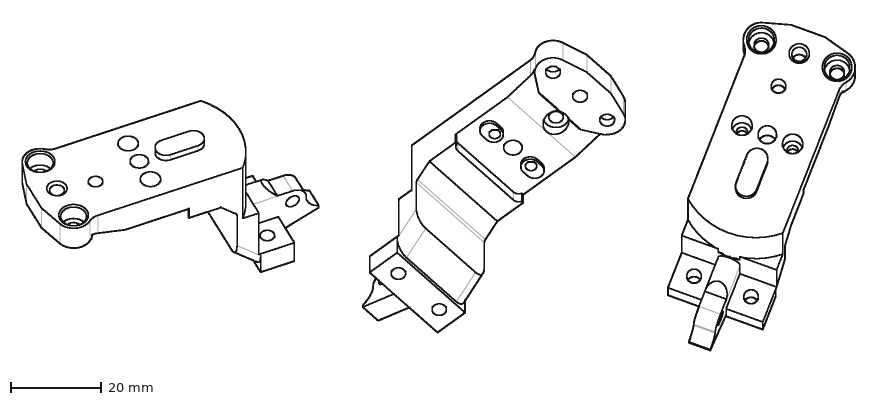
import cadquery as cq
import math


overall_width = 26.0
overall_length = 68.2
body_width = 22.5
half_body = body_width / 2
arm_underside_z = -7.6
taper_start_y = 17.1
taper_slope = 0.27
step_y = 32.7
step_z = -10.5
inner_wall_y = 44.35
gusset_size = 3.9
gusset_fillet = 1.15
wall_back_y = 49.65

crown_y = 49.95
crown_radius = 17.2
crown_bottom_z = -16.3
crown_nib_bottom_z = -18.6

foot_front_y = 50.1
foot_back_y = 58.3
foot_top_z = -29.6
foot_bottom_z = -35.55
slope_top_z = -28.65
slope_bottom_z = slope_top_z - (foot_front_y - inner_wall_y)
slope_fillet = 3.0
foot_hole_x = 6.75
foot_hole_y = 53.75
foot_hole_diameter = 3.2

lobe_radius = 4.0
lobe_x = overall_width / 2 - lobe_radius
lobe_y = 5.6
pad_bottom_z = -6.4
pad_side_y = 7.5
pad_back_y = 11.8
pad_back_half_width = 6.8
front_half_width = 4.0
neck_radius = 3.4

lobe_bore_diameter = 5.7
lobe_bore_depth = 4.1
lobe_bore_chamfer = 0.4
lobe_hole_diameter = 3.3
front_hole_diameter = 3.3
front_hole_chamfer = 0.6
offset_hole_x = 1.65
offset_hole_y = 14.25
offset_hole_diameter = 3.2
offset_bore_diameter = 5.7
offset_bore_depth = 2.7
screw_row_y = 25.65
center_hole_diameter = 4.1
screw_x = 6.0
screw_hole_diameter = 2.5
screw_bore_diameter = 4.5
screw_bore_depth = 5.45

key_width = 4.85
key_length = 11.5
key_y = 35.5
key_height = 1.65
boss_width = 4.2
boss_length = 5.65
boss_x = 6.75
boss_y = 25.9
boss_height = 0.9

pocket_width = 21.6
pocket_back_y = 33.85
pocket_corner_radius = 1.65

hinge_width = 5.1
hinge_top_z = -22.8
hinge_pin_y = 61.8
hinge_pin_z = -26.1
hinge_pin_diameter = 3.2
hinge_nose_radius = hinge_top_z - hinge_pin_z
nose_y = hinge_pin_y + hinge_nose_radius
ridge_end_y = 58.1

cut_margin = 0.7


def side_prism(sketch, width):
    """Extrude a closed YZ outline symmetrically about X = 0."""
    return sketch.close().extrude(width / 2, both=True)


def down_cylinder(x, y, diameter, top_z, depth):
    return cq.Workplane("XY", origin=(x, y, top_z)).circle(diameter / 2).extrude(-depth)


def slot_block(x, y, length, width, angle, bottom_z, height):
    return cq.Workplane("XY", origin=(x, y, bottom_z)).slot2D(length, width, angle).extrude(height)


def make_plate_outline():
    """Top outline of the plate: angled nose, two lobes, concave necks and the crown."""
    reach = lobe_radius + neck_radius
    neck_dx = half_body + neck_radius - lobe_x
    neck_dy = math.sqrt(reach**2 - neck_dx**2)
    neck_y = lobe_y + neck_dy
    join = (lobe_x + neck_dx * lobe_radius / reach, lobe_y + neck_dy * lobe_radius / reach)
    neck_turn = math.atan2(neck_dy, neck_dx) / 2
    neck_mid = (
        half_body + neck_radius - neck_radius * math.cos(neck_turn),
        neck_y - neck_radius * math.sin(neck_turn),
    )
    to_lobe_x = lobe_x - front_half_width
    distance = math.hypot(to_lobe_x, lobe_y)
    edge_angle = math.atan2(lobe_y, to_lobe_x) - math.asin(lobe_radius / distance)
    tangent = (
        lobe_x + lobe_radius * math.sin(edge_angle),
        lobe_y - lobe_radius * math.cos(edge_angle),
    )
    outer = (lobe_x + lobe_radius, lobe_y)
    crown_side_y = crown_y - crown_radius + math.sqrt(crown_radius**2 - half_body**2)

    def mirrored(point):
        return (-point[0], point[1])

    return (
        cq.Workplane("XY")
        .moveTo(-front_half_width, 0)
        .lineTo(front_half_width, 0)
        .lineTo(*tangent)
        .threePointArc(outer, join)
        .threePointArc(neck_mid, (half_body, neck_y))
        .lineTo(half_body, crown_side_y)
        .threePointArc((0, crown_y), (-half_body, crown_side_y))
        .lineTo(-half_body, neck_y)
        .threePointArc(mirrored(neck_mid), mirrored(join))
        .threePointArc(mirrored(outer), mirrored(tangent))
        .close()
    )


def make_pad_blank():
    """Flat-bottomed block that fills the front of the taper, narrowing towards the back."""
    half_width = overall_width / 2 + cut_margin
    return (
        cq.Workplane("XY")
        .polyline([
            (-half_width, -cut_margin),
            (half_width, -cut_margin),
            (half_width, pad_side_y),
            (pad_back_half_width, pad_back_y),
            (-pad_back_half_width, pad_back_y),
            (-half_width, pad_side_y),
        ])
        .close()
        .extrude(pad_bottom_z)
    )


def make_arm():
    """Plate outline trimmed to the front pad, the stepped, tapered underside and the gusset."""
    front_z = arm_underside_z + taper_slope * taper_start_y
    gusset_bottom_z = step_z - gusset_size
    profile = side_prism(
        cq.Workplane("YZ")
        .moveTo(0, 0)
        .lineTo(0, front_z)
        .lineTo(taper_start_y, arm_underside_z)
        .lineTo(step_y, arm_underside_z)
        .lineTo(step_y, step_z)
        .lineTo(inner_wall_y - gusset_size, step_z)
        .lineTo(inner_wall_y, gusset_bottom_z)
        .lineTo(inner_wall_y, crown_bottom_z)
        .lineTo(crown_y, crown_bottom_z)
        .lineTo(crown_y, 0),
        overall_width + 2 * cut_margin,
    )
    corner = cq.selectors.NearestToPointSelector((0, inner_wall_y, gusset_bottom_z))
    profile = profile.edges("|X").edges(corner).fillet(gusset_fillet)
    return make_plate_outline().extrude(crown_bottom_z).intersect(profile.union(make_pad_blank()))


def make_wall_and_foot():
    """Wall with a 45 degree rounded lower face, the foot block and the crown nib."""
    wall = side_prism(
        cq.Workplane("YZ")
        .moveTo(inner_wall_y, crown_bottom_z)
        .lineTo(inner_wall_y, slope_top_z)
        .lineTo(foot_front_y, slope_bottom_z)
        .lineTo(foot_front_y, foot_top_z)
        .lineTo(wall_back_y, foot_top_z)
        .lineTo(wall_back_y, crown_bottom_z),
        body_width,
    )
    slope_mid_y = (inner_wall_y + foot_front_y) / 2
    slope_mid_z = (slope_top_z + slope_bottom_z) / 2
    for side in (-1, 1):
        edge_point = (side * half_body, slope_mid_y, slope_mid_z)
        wall = wall.edges(cq.selectors.NearestToPointSelector(edge_point)).fillet(slope_fillet)
    foot = cq.Workplane("XY").box(
        body_width, foot_back_y - foot_front_y, foot_top_z - foot_bottom_z, centered=(True, False, False)
    ).translate((0, foot_front_y, foot_bottom_z))
    for side in (-1, 1):
        foot = foot.cut(down_cylinder(
            side * foot_hole_x, foot_hole_y, foot_hole_diameter, foot_top_z, foot_top_z - foot_bottom_z
        ))
    nib_strip = cq.Workplane("XY").box(
        hinge_width, crown_y - inner_wall_y, crown_bottom_z - crown_nib_bottom_z, centered=(True, False, False)
    ).translate((0, inner_wall_y, crown_nib_bottom_z))
    nib = make_plate_outline().extrude(crown_nib_bottom_z).intersect(nib_strip)
    return wall.union(foot).union(nib)


def make_hinge():
    """Hook-ended arm with a pin hole and a half-round ridge on top."""
    diagonal = hinge_nose_radius * math.sqrt(0.5)
    hook_top_z = -26.9
    hook_mid = (66.1, -28.8)
    tip_top_z = -30.3
    tip_bottom_z = -31.0
    underside_z = -34.6
    arm = side_prism(
        cq.Workplane("YZ")
        .moveTo(wall_back_y, hinge_top_z)
        .lineTo(hinge_pin_y, hinge_top_z)
        .threePointArc((hinge_pin_y + diagonal, hinge_pin_z + diagonal), (nose_y, hinge_pin_z))
        .lineTo(nose_y, hook_top_z)
        .threePointArc(hook_mid, (overall_length, tip_top_z))
        .lineTo(overall_length, tip_bottom_z)
        .lineTo(foot_back_y, underside_z)
        .lineTo(foot_front_y, underside_z)
        .lineTo(foot_front_y, foot_top_z)
        .lineTo(wall_back_y, foot_top_z),
        hinge_width,
    )
    ridge_radius = hinge_width / 2
    ridge_trim_height = ridge_radius + cut_margin
    ridge = (
        cq.Workplane("XZ", origin=(0, wall_back_y, hinge_top_z))
        .circle(ridge_radius)
        .extrude(wall_back_y - ridge_end_y)
    )
    ridge_trim = side_prism(
        cq.Workplane("YZ")
        .moveTo(wall_back_y, hinge_top_z)
        .lineTo(ridge_end_y, hinge_top_z)
        .lineTo(ridge_end_y - ridge_trim_height, hinge_top_z + ridge_trim_height)
        .lineTo(wall_back_y, hinge_top_z + ridge_trim_height),
        hinge_width + 2 * cut_margin,
    )
    pin_hole = (
        cq.Workplane("YZ")
        .center(hinge_pin_y, hinge_pin_z)
        .circle(hinge_pin_diameter / 2)
        .extrude(hinge_width, both=True)
    )
    return arm.union(ridge.intersect(ridge_trim)).cut(pin_hole)


def through_hole(x, y, diameter):
    return down_cylinder(x, y, diameter, cut_margin, cut_margin - step_z)


def countersink(x, y, diameter, chamfer):
    return (
        cq.Workplane("XY", origin=(x, y, 0))
        .circle(diameter / 2 + chamfer)
        .workplane(offset=-chamfer)
        .circle(diameter / 2)
        .loft(ruled=True)
    )


def cut_plate_holes(body):
    tools = [
        through_hole(0, lobe_y, front_hole_diameter),
        countersink(0, lobe_y, front_hole_diameter, front_hole_chamfer),
        through_hole(offset_hole_x, offset_hole_y, offset_hole_diameter),
        down_cylinder(
            offset_hole_x, offset_hole_y, offset_bore_diameter,
            arm_underside_z + offset_bore_depth, offset_bore_depth,
        ),
        through_hole(0, screw_row_y, center_hole_diameter),
    ]
    for side in (-1, 1):
        tools += [
            through_hole(side * lobe_x, lobe_y, lobe_hole_diameter),
            down_cylinder(side * lobe_x, lobe_y, lobe_bore_diameter, 0, lobe_bore_depth),
            countersink(side * lobe_x, lobe_y, lobe_bore_diameter, lobe_bore_chamfer),
            through_hole(side * screw_x, screw_row_y, screw_hole_diameter),
            down_cylinder(side * screw_x, screw_row_y, screw_bore_diameter, 0, screw_bore_depth),
        ]
    for tool in tools:
        body = body.cut(tool)
    return body


def make_step_pocket():
    """Round-cornered recess in the step, open to the front and below."""
    pocket_length = pocket_back_y - step_y + cut_margin
    return (
        cq.Workplane("XY", origin=(0, pocket_back_y - pocket_length / 2, step_z))
        .rect(pocket_width, pocket_length)
        .extrude(arm_underside_z - step_z)
        .edges("|Z and >Y")
        .fillet(pocket_corner_radius)
    )


body = make_arm().cut(make_step_pocket())
body = body.union(make_wall_and_foot()).union(make_hinge())
body = body.union(slot_block(0, key_y, key_length, key_width, 90, 0, key_height))
for side in (-1, 1):
    boss_bottom_z = arm_underside_z - boss_height
    body = body.union(slot_block(side * boss_x, boss_y, boss_length, boss_width, 0, boss_bottom_z, boss_height))
result = cut_plate_holes(body)